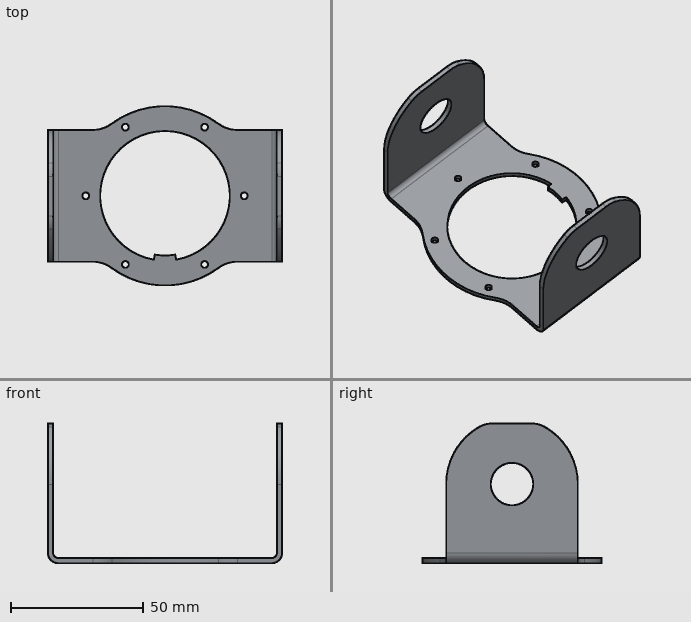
import cadquery as cq
import math

length = 88.8
height = 53.0
arm_width = 50.0
thickness = 2.0
bend_inner_radius = 1.95
bend_outer_radius = bend_inner_radius + thickness

flange_diameter = 68.0
flange_blend_radius = 12.0
bore_radius = 24.5
screw_hole_diameter = 2.5
screw_circle_radius = 30.0
screw_count = 6

key_tip_radius = 22.55
key_half_angle = math.radians(10)
key_root_radius = bore_radius + thickness / 2

pivot_height = 30.0
pivot_diameter = 16.0
arm_corner_radius = 10.0


def make_channel():
    """Bent U section running along Y."""
    outer = (
        cq.Workplane("XY")
        .box(length, arm_width, height, centered=(True, True, False))
        .edges("|Y and <Z")
        .fillet(bend_outer_radius)
    )
    inner = (
        cq.Workplane("XY")
        .workplane(offset=thickness)
        .box(length - 2 * thickness, arm_width, height, centered=(True, True, False))
        .edges("|Y and <Z")
        .fillet(bend_inner_radius)
    )
    return outer.cut(inner)


def make_arm_envelope():
    """Arm outline along X: straight sides, round shoulders, flat top."""
    straight = cq.Workplane("XY").box(length, arm_width, pivot_height, centered=(True, True, False))
    crown = (
        cq.Workplane("YZ")
        .center(0, pivot_height)
        .circle(arm_width / 2)
        .extrude(length / 2, both=True)
    )
    flat_top = cq.Workplane("XY").box(length, arm_width, height, centered=(True, True, False))
    outline = straight.union(crown.intersect(flat_top))
    return outline.faces(">Z").edges("|X").fillet(arm_corner_radius)


def add_flange(body):
    """Round flange blended into the long edges of the base."""
    flange = cq.Workplane("XY").circle(flange_diameter / 2).extrude(thickness)
    strip = cq.Workplane("XY").box(
        length - 2 * bend_outer_radius, arm_width, thickness, centered=(True, True, False)
    )
    junction_x = math.sqrt((flange_diameter / 2) ** 2 - (arm_width / 2) ** 2)
    slack = 0.9
    junctions = cq.selectors.BoxSelector(
        (-junction_x - slack, -flange_diameter, -slack),
        (junction_x + slack, flange_diameter, height),
    )
    plate = strip.union(flange).edges("|Z").edges(junctions).fillet(flange_blend_radius)
    return body.union(plate)


def make_key():
    """Sector-shaped key with radial sides and a concentric tip."""
    def at(radius, angle):
        return (radius * math.sin(angle), -radius * math.cos(angle))

    return (
        cq.Workplane("XY")
        .moveTo(*at(key_tip_radius, -key_half_angle))
        .threePointArc(at(key_tip_radius, 0), at(key_tip_radius, key_half_angle))
        .lineTo(*at(key_root_radius, key_half_angle))
        .threePointArc(at(key_root_radius, 0), at(key_root_radius, -key_half_angle))
        .close()
        .extrude(thickness)
    )


bracket = add_flange(make_channel().intersect(make_arm_envelope()))

bore = cq.Workplane("XY").circle(bore_radius).extrude(thickness)
screw_holes = (
    cq.Workplane("XY")
    .polarArray(screw_circle_radius, 0, 360, screw_count)
    .circle(screw_hole_diameter / 2)
    .extrude(thickness)
)
pivot_holes = (
    cq.Workplane("YZ")
    .center(0, pivot_height)
    .circle(pivot_diameter / 2)
    .extrude(length / 2, both=True)
)

result = bracket.cut(bore).union(make_key()).cut(screw_holes).cut(pivot_holes)